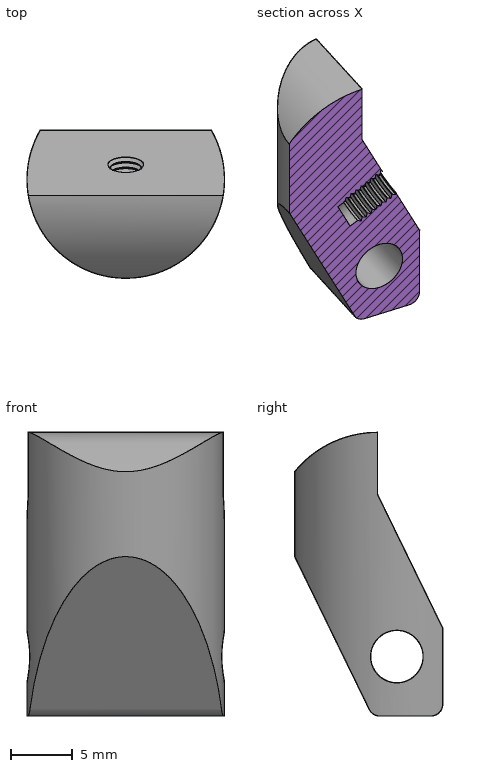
import cadquery as cq
import math

body_radius = 8.0
body_height = 23
back_flat_y = body_radius / 2

slope_from_vertical = 26
step_y = -1.29
back_slope_bottom_z = 7.13
front_slope_top_z = 12.93
crown_radius = 8.65
bottom_fillet = 1.0

cross_hole_diameter = 4.23
cross_hole_y = 0.28
cross_hole_z = 4.83

thread_minor_diameter = 2.53
thread_major_diameter = 3.08
thread_pitch = 0.5
thread_groove_width = 0.45
first_groove_depth = 0.1
groove_count = 8
threaded_hole_y = 1.2
threaded_hole_depth = 4.6

slope_angle = math.radians(slope_from_vertical)
rise_per_y = 1 / math.tan(slope_angle)


def back_slope_z(y):
    """Height of the back slope at a given Y."""
    return back_slope_bottom_z + (back_flat_y - y) * rise_per_y


def make_side_profile():
    """Bent profile extruded across the full width, with rounded bottom edges."""
    front_y = -body_radius
    front_slope_bottom_y = front_y + front_slope_top_z / rise_per_y

    def crown_point(y):
        drop = crown_radius - math.sqrt(crown_radius**2 - (y - step_y) ** 2)
        return (y, body_height - drop)

    return (
        cq.Workplane("YZ")
        .moveTo(front_slope_bottom_y, 0)
        .lineTo(back_flat_y, 0)
        .lineTo(back_flat_y, back_slope_bottom_z)
        .lineTo(step_y, back_slope_z(step_y))
        .lineTo(step_y, body_height)
        .threePointArc(crown_point((step_y + front_y) / 2), crown_point(front_y))
        .lineTo(front_y, front_slope_top_z)
        .close()
        .extrude(body_radius, both=True)
        .faces("<Z")
        .edges("|X")
        .fillet(bottom_fillet)
    )


def make_cross_hole():
    return (
        cq.Workplane("YZ")
        .center(cross_hole_y, cross_hole_z)
        .circle(cross_hole_diameter / 2)
        .extrude(body_radius, both=True)
    )


def make_threaded_hole():
    """Bore with V-shaped ring grooves standing in for the thread."""
    minor_radius = thread_minor_diameter / 2
    major_radius = thread_major_diameter / 2
    slope_plane = cq.Plane(
        origin=(0, threaded_hole_y, back_slope_z(threaded_hole_y)),
        xDir=(1, 0, 0),
        normal=(0, math.cos(slope_angle), math.sin(slope_angle)),
    )
    half_section_plane = cq.Plane(
        origin=slope_plane.origin, xDir=slope_plane.xDir, normal=-slope_plane.yDir
    )
    mouth_clearance = thread_pitch
    section = (
        cq.Workplane(half_section_plane)
        .moveTo(0, mouth_clearance)
        .lineTo(minor_radius, mouth_clearance)
    )
    for index in range(groove_count):
        depth = first_groove_depth + index * thread_pitch
        section = (
            section.lineTo(minor_radius, -depth + thread_groove_width / 2)
            .lineTo(major_radius, -depth)
            .lineTo(minor_radius, -depth - thread_groove_width / 2)
        )
    return (
        section.lineTo(minor_radius, -threaded_hole_depth)
        .lineTo(0, -threaded_hole_depth)
        .close()
        .revolve(360, (0, 0), (0, 1))
    )


round_stock = cq.Workplane("XY").circle(body_radius).extrude(body_height)
body = round_stock.intersect(make_side_profile())
result = body.cut(make_cross_hole()).cut(make_threaded_hole())